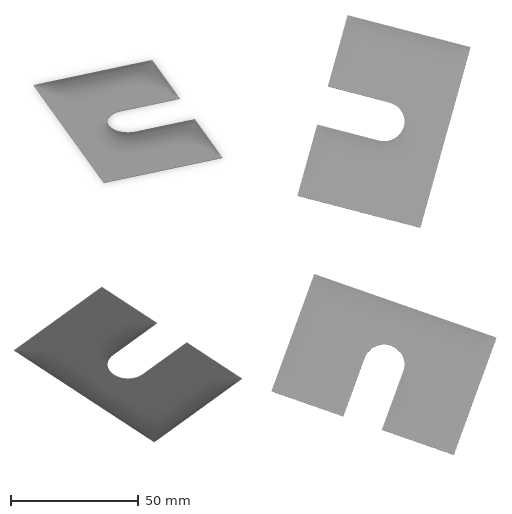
import cadquery as cq

length = 76.0
width = 50.0
thickness = 0.25

slot_width = 16.0
slot_radius = slot_width / 2
back_edge = width / 2

outline = (
    cq.Workplane("XY")
    .moveTo(-length / 2, -width / 2)
    .lineTo(length / 2, -width / 2)
    .lineTo(length / 2, back_edge)
    .lineTo(slot_radius, back_edge)
    .lineTo(slot_radius, 0)
    .threePointArc((0, -slot_radius), (-slot_radius, 0))
    .lineTo(-slot_radius, back_edge)
    .lineTo(-length / 2, back_edge)
    .close()
)

result = outline.extrude(thickness)